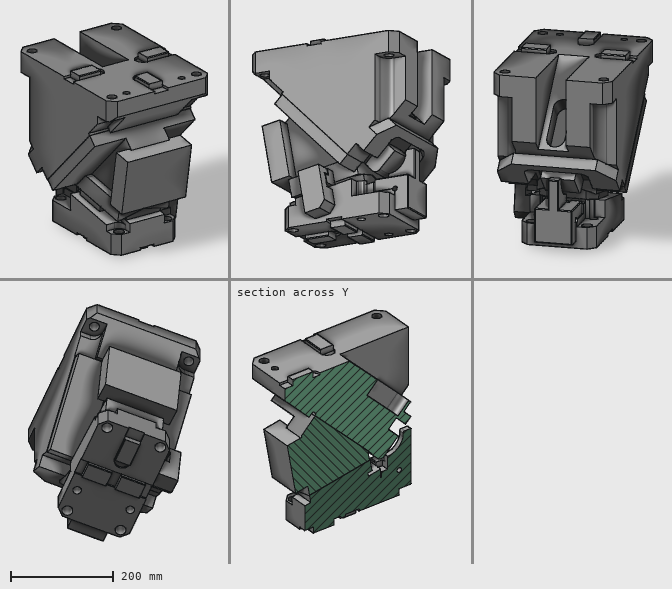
import cadquery as cq
import math


CAM_ANGLE = 10.0
PLATE_HEIGHT = 44.0
KEY_HEIGHT = 9.0
KEYWAY_DEPTH = 5.0
KEY_LENGTH = 50.2
KEY_CHAMFER = 2.2
BOLT_RADIUS = 9.5

DRIVER_LENGTH = 325.0
DRIVER_WIDTH = 240.0
DRIVER_HALF_WIDTH = DRIVER_WIDTH / 2
DRIVER_TOP = 354.0
DRIVER_CHAMFER = 15.5
FLANGE_BOTTOM = DRIVER_TOP - PLATE_HEIGHT
DRIVER_BOLT_INSET_X = 25.3
DRIVER_BOLT_Y = 99.7
DRIVER_RECESS_RADIUS = 20.5
DOWEL_Y = 65.0
DOWEL_RADIUS = 6.7
KEY_WIDTH = 31.5
SIDE_KEY_X = 180.5
SIDE_KEY_OUTER_Y = 105.3
END_KEY_X = 255.5

CAM_RISE = 7.8
CAM_UPPER_RISE = 14.5
CAM_UPPER_REACH = 512.5
LIP_RISE = -4.5
LIP_REACH = 525.5
BACK_REACH = 221.5
STRIP_REACH = 186.7
STRIP_LOW_RISE = 46.0
STRIP_HIGH_RISE = 153.3
STRIP_CHAMFER = 35.0
NOSE_HALF_WIDTH = 34.2
NOSE_REACH = 184.5
NOSE_LOW_RISE = 5.5
NOSE_HIGH_RISE = 89.3
NOSE_RADIUS = 12.3
POCKET_REACH = 232.5
POCKET_HIGH_RISE = 127.0
POCKET_HALF_WIDTH = 64.7
POCKET_FLOOR_HALF_WIDTH = 51.5
POCKET_CORNER = 16.7
CHANNEL_HALF_WIDTH = 30.5
CHANNEL_RISE = 186.7
OVAL_WIDTH = 36.5
OVAL_LENGTH = 105.5
OVAL_DEPTH = 37.0
OVAL_MIDDLE_X = 60.3

BASE_LEFT = 45.5
BASE_RIGHT = 276.0
BASE_HALF_WIDTH = 75.5
BASE_CHAMFER = 15.0
SHOULDER_X = 121.3
SHOULDER_Z = 79.2
RIB_HALF_WIDTH = 40.0
RIB_DROP = 6.7
SEAT_Z = 58.0
LEDGE_FILLET = 15.0
BASE_BOLT_INSET_X = 15.3
BASE_BOLT_Y = 56.0
BASE_BOLT_RADIUS = 10.5
BASE_DOWEL_X = 109.7
BASE_DOWEL_RADIUS = 8.0
BASE_RECESS_RADIUS = 15.3
END_PAD_HEIGHT = 10.0
END_PAD_HALF_WIDTH = BASE_BOLT_Y - BASE_RECESS_RADIUS
BASE_KEY_X = 160.0
BASE_KEY_WIDTH = 32.7
BASE_SIDE_KEY_OUTER_Y = 60.3
BASE_END_KEY_X = 204.5

GUIDE_HALF_WIDTH = 60.0
GUIDE_EDGE_HEIGHT = 11.5
GUIDE_SLOPE = 14.0
GUIDE_START = -10.0
GUIDE_END = 141.0
GUIDE_STEP = 79.2
GUIDE_NARROW_HALF_WIDTH = 40.0
GUIDE_CHAMFER = 20.5
RIDGE_HEIGHT = GUIDE_EDGE_HEIGHT + GUIDE_HALF_WIDTH * math.tan(math.radians(GUIDE_SLOPE))

BLOCK_LEFT = 16.0
BLOCK_RIGHT = 90.0
BLOCK_BOTTOM = 14.5
BLOCK_TOP = 84.0
BLOCK_HALF_WIDTH = 38.0
BLOCK_CHAMFER = 2.0
BLOCK_GAP = 1.0
RELIEF_RADIUS = 5.0
TOWER_TOP = 143.5
TOWER_HALF_WIDTH = 10.5
TOWER_TIP_X = 37.0
TOWER_TIP_RADIUS = 3.7
TOWER_FOOT_X = 74.5
TOWER_FOOT_Z = 100.5
TOWER_ARC_START_Z = 131.5
TOWER_ARC_MIDDLE = (47.5, 111.5)
SLOT_HALF_WIDTH = 16.5
SLOT_FLOOR = 70.5

WEAR_PLATE_HALF_WIDTH = 118.5
WEAR_PLATE_LOW_RISE = -26.5
WEAR_PLATE_HIGH_REACH = 510.5
SLAB_START = -8.5
SLAB_TOP = 50.0
SLAB_BEVEL = (37.2, 3.7)
CORE_HALF_WIDTH = 45.0
CORE_START_REACH = 266.0
CORE_LOW_RISE = -64.5
TAIL_START = 131.5
TAIL_END = 171.0
TAIL_TOP = 169.3
TAIL_HALF_WIDTH = 75.5

HOOK_START = 44.5
HOOK_LENGTH = 46.0
HOOK_OUTER_Y = 118.5
HOOK_WALL_Y = 97.0
HOOK_ROOT_Y = 68.0
HOOK_LIP_Y = 84.5
HOOK_BOTTOM = -55.0
HOOK_FLOOR = -8.0
HOOK_LIP_HEIGHT = 22.0
HOOK_TOP = 33.5
HOOK_CHAMFER = 13.5
TOE_LENGTH = 24.0
FOOT_OUTER_Y = 94.0
FOOT_NECK_Y = 81.5
FOOT_BOTTOM = 1.5
TOE_TOP = 20.5
FOOT_NECK_TOP = 35.0

FAR = 744.0


def slope_point(reach, rise):
    """Point (x, z) with x + z = reach and z - x = rise."""
    return ((reach - rise) / 2, (reach + rise) / 2)


def guide_point(along, height):
    """Point (x, z) at a place along, and a height above, the tilted top of the base."""
    angle = math.radians(CAM_ANGLE)
    return (
        SHOULDER_X + along * math.cos(angle) + height * math.sin(angle),
        SHOULDER_Z - along * math.sin(angle) + height * math.cos(angle),
    )


def side_prism(points, y_low, y_high):
    """Prism with an outline in X and Z, between two Y places."""
    return cq.Workplane("XZ", origin=(0, y_high, 0)).polyline(points).close().extrude(y_high - y_low)


def centred_prism(points, half_width):
    return side_prism(points, -half_width, half_width)


def slope_block(reaches, rises, half_width):
    """Block lying square to the 45 degree faces, centred on Y = 0."""
    low_reach, high_reach = reaches
    low_rise, high_rise = rises
    corners = [
        slope_point(low_reach, low_rise),
        slope_point(high_reach, low_rise),
        slope_point(high_reach, high_rise),
        slope_point(low_reach, high_rise),
    ]
    return centred_prism(corners, half_width)


def box(x_range, y_range, z_range):
    spans = [high - low for low, high in (x_range, y_range, z_range)]
    return cq.Workplane("XY").box(*spans, centered=False).translate((x_range[0], y_range[0], z_range[0]))


def tilt(shape):
    """Move a shape from (along, y, height) of the guide to its place on the base."""
    return shape.rotate((0, 0, 0), (0, 1, 0), CAM_ANGLE).translate((SHOULDER_X, 0, SHOULDER_Z))


def guide_prism(points, start, end):
    """Prism with an outline in Y and height, running along the guide."""
    return tilt(cq.Workplane("YZ", origin=(start, 0, 0)).polyline(points).close().extrude(end - start))


def bolt_hole(x, y, radius, height):
    return cq.Workplane("XY").center(x, y).circle(radius).extrude(height)


def corner_chamfers(left, right, half_width, size):
    """Four upright triangular prisms that take the corners off a rectangular plan."""
    corners = None
    for x, x_step in ((left, size), (right, -size)):
        for side in (-1, 1):
            y = side * half_width
            plan = [(x, y), (x + x_step, y), (x, y - side * size)]
            corner = cq.Workplane("XY").polyline(plan).close().extrude(DRIVER_TOP)
            corners = corner if corners is None else corners.union(corner)
    return corners


def corner_recess(centre, outward, radius, z_range):
    """Round-cornered recess around a bolt, open towards the two outer sides."""
    x, y = centre
    x_out, y_out = outward
    low, high = z_range
    width = 3 * radius
    block = cq.Workplane("XY").box(width, width, high - low)
    block = block.translate((x + x_out * radius / 2, y + y_out * radius / 2, (low + high) / 2))
    inner = ("<X" if x_out > 0 else ">X", "<Y" if y_out > 0 else ">Y")
    return block.faces(inner[0]).edges("|Z").edges(inner[1]).fillet(radius)


def key_profile(width, top):
    """Key outline across its length, chamfered at the outer face; top is signed."""
    half = width / 2
    sign = 1 if top > 0 else -1
    inner = -sign * KEYWAY_DEPTH
    return [
        (-half, inner),
        (half, inner),
        (half, top - sign * KEY_CHAMFER),
        (half - KEY_CHAMFER / 2, top),
        (-half + KEY_CHAMFER / 2, top),
        (-half, top - sign * KEY_CHAMFER),
    ]


def side_key(x, y_low, z, width, top):
    profile = cq.Workplane("XZ").polyline(key_profile(width, top)).close().extrude(-KEY_LENGTH)
    return profile.translate((x, y_low, z))


def end_key(x_low, z, width, top):
    profile = cq.Workplane("YZ").polyline(key_profile(width, top)).close().extrude(KEY_LENGTH)
    return profile.translate((x_low, 0, z))


def make_driver():
    """Wedge body with a top flange, a back strip and keys."""
    profile = [
        (0, DRIVER_TOP),
        (DRIVER_LENGTH, DRIVER_TOP),
        (DRIVER_LENGTH, DRIVER_LENGTH + LIP_RISE),
        slope_point(LIP_REACH, LIP_RISE),
        slope_point(LIP_REACH, CAM_UPPER_RISE),
        slope_point(CAM_UPPER_REACH, CAM_UPPER_RISE),
        slope_point(CAM_UPPER_REACH, CAM_RISE),
        slope_point(BACK_REACH, CAM_RISE),
        (0, BACK_REACH),
    ]
    driver = centred_prism(profile, DRIVER_HALF_WIDTH)
    driver = driver.cut(corner_chamfers(0, DRIVER_LENGTH, DRIVER_HALF_WIDTH, DRIVER_CHAMFER))

    lip_half_width = DRIVER_BOLT_Y - DRIVER_RECESS_RADIUS
    right_bolt_x = DRIVER_LENGTH - DRIVER_BOLT_INSET_X
    for side in (-1, 1):
        for x, x_out in ((DRIVER_BOLT_INSET_X, -1), (right_bolt_x, 1)):
            centre = (x, side * DRIVER_BOLT_Y)
            recess = corner_recess(centre, (x_out, side), DRIVER_RECESS_RADIUS, (0, FLANGE_BOTTOM))
            driver = driver.cut(recess).cut(bolt_hole(*centre, BOLT_RADIUS, DRIVER_TOP))
        dowel = bolt_hole(right_bolt_x, side * DOWEL_Y, DOWEL_RADIUS, PLATE_HEIGHT)
        driver = driver.cut(dowel.translate((0, 0, FLANGE_BOTTOM)))

        lip_layer = slope_block((CAM_UPPER_REACH, FAR), (LIP_RISE, CAM_UPPER_RISE), DRIVER_HALF_WIDTH)
        outer_part = box((0, FAR), sorted((side * lip_half_width, side * FAR)), (0, FLANGE_BOTTOM))
        driver = driver.cut(lip_layer.intersect(outer_part))

    driver = driver.union(make_strip())
    driver = driver.cut(pocket_tool()).union(make_nose())
    driver = driver.cut(channel_tool())
    return add_driver_keys(driver)


def make_strip():
    """Strip along the lower edge of the back face, with its two outer corners cut off."""
    strip = slope_block((STRIP_REACH, BACK_REACH), (STRIP_LOW_RISE, STRIP_HIGH_RISE), DRIVER_HALF_WIDTH)
    for side in (-1, 1):
        y = side * DRIVER_HALF_WIDTH
        triangle = [(0, y), (STRIP_CHAMFER, y), (0, y - side * STRIP_CHAMFER)]
        corner = strip_plane(STRIP_HIGH_RISE).polyline(triangle).close()
        strip = strip.cut(corner.extrude(BACK_REACH - STRIP_REACH))
    return strip


def strip_plane(rise):
    """Plane on the strip face: local x runs down the slope, local y is +Y, the normal points inwards."""
    x, z = slope_point(STRIP_REACH, rise)
    return cq.Workplane(cq.Plane(origin=(x, 0, z), xDir=(1, 0, -1), normal=(1, 0, 1)))


def pocket_tool():
    """Pocket through the strip, with round corners and side walls that lean in towards the floor."""
    length = (POCKET_HIGH_RISE - CAM_RISE) / math.sqrt(2) + 2 * POCKET_CORNER
    depth = (POCKET_REACH - STRIP_REACH) / math.sqrt(2)
    outline = strip_plane(POCKET_HIGH_RISE).center(length / 2, 0).rect(length, 2 * POCKET_HALF_WIDTH)
    upright = cq.selectors.ParallelDirSelector(cq.Vector(1, 0, 1))
    tool = outline.extrude(depth).edges(upright).fillet(POCKET_CORNER)
    x, z = slope_point(STRIP_REACH, POCKET_HIGH_RISE)
    section = cq.Workplane(cq.Plane(origin=(x, 0, z), xDir=(0, 1, 0), normal=(1, 0, -1)))
    trapezoid = [
        (-POCKET_HALF_WIDTH, 0),
        (POCKET_HALF_WIDTH, 0),
        (POCKET_FLOOR_HALF_WIDTH, depth),
        (-POCKET_FLOOR_HALF_WIDTH, depth),
    ]
    return tool.intersect(section.polyline(trapezoid).close().extrude(length))


def make_nose():
    nose = slope_block((NOSE_REACH, POCKET_REACH), (NOSE_LOW_RISE, NOSE_HIGH_RISE), NOSE_HALF_WIDTH)
    return nose.edges("|Y").edges("<Z").fillet(NOSE_RADIUS)


def channel_tool():
    """Open channel with a 45 degree floor and an oval pocket sunk square into that floor."""
    top = DRIVER_TOP
    channel = centred_prism([(0, top), (0, CHANNEL_RISE), (top - CHANNEL_RISE, top)], CHANNEL_HALF_WIDTH)
    origin = (OVAL_MIDDLE_X, 0, OVAL_MIDDLE_X + CHANNEL_RISE)
    floor = cq.Workplane(cq.Plane(origin=origin, xDir=(1, 0, 1), normal=(-1, 0, 1)))
    return channel.union(floor.slot2D(OVAL_LENGTH, OVAL_WIDTH).extrude(-OVAL_DEPTH))


def add_driver_keys(driver):
    floor = DRIVER_TOP - KEYWAY_DEPTH
    half = KEY_WIDTH / 2
    inner_y = SIDE_KEY_OUTER_Y - KEY_LENGTH
    for side in (-1, 1):
        y_range = sorted((side * inner_y, side * FAR))
        keyway = box((SIDE_KEY_X - half, SIDE_KEY_X + half), y_range, (floor, DRIVER_TOP))
        round_end = cq.Workplane("XY").center(SIDE_KEY_X, side * inner_y).circle(half).extrude(KEYWAY_DEPTH)
        driver = driver.cut(keyway).cut(round_end.translate((0, 0, floor)))
        y_low = min(side * inner_y, side * SIDE_KEY_OUTER_Y)
        driver = driver.union(side_key(SIDE_KEY_X, y_low, DRIVER_TOP, KEY_WIDTH, KEY_HEIGHT))
    keyway = box((END_KEY_X, FAR), (-half, half), (floor, DRIVER_TOP))
    round_end = cq.Workplane("XY").center(END_KEY_X, 0).circle(half).extrude(KEYWAY_DEPTH)
    driver = driver.cut(keyway).cut(round_end.translate((0, 0, floor)))
    return driver.union(end_key(END_KEY_X, DRIVER_TOP, KEY_WIDTH, KEY_HEIGHT))


def guide_ridge():
    """Roof-shaped guide on the tilted top of the base."""
    outline = [
        (-GUIDE_HALF_WIDTH, 0),
        (GUIDE_HALF_WIDTH, 0),
        (GUIDE_HALF_WIDTH, GUIDE_EDGE_HEIGHT),
        (0, RIDGE_HEIGHT),
        (-GUIDE_HALF_WIDTH, GUIDE_EDGE_HEIGHT),
    ]
    return guide_prism(outline, GUIDE_START, GUIDE_END)


def make_guide():
    """Guide ridge with its leading corners cut off and its low end narrowed."""
    ridge = guide_ridge()
    for side in (-1, 1):
        y = side * GUIDE_HALF_WIDTH
        triangle = [
            (GUIDE_START, y),
            (GUIDE_START + GUIDE_CHAMFER, y),
            (GUIDE_START, y - side * GUIDE_CHAMFER),
        ]
        ridge = ridge.cut(tilt(cq.Workplane("XY").polyline(triangle).close().extrude(RIDGE_HEIGHT)))
    narrow_part = box((GUIDE_STEP, FAR), (GUIDE_NARROW_HALF_WIDTH, FAR), (0, FAR))
    for part in (narrow_part, narrow_part.mirror("XZ")):
        ridge = ridge.cut(tilt(part))
    return ridge


def make_base():
    """Base flange with a tilted top, a guide, a stop block, a return hook and keys."""
    end_along = (BASE_RIGHT - SHOULDER_X) / math.cos(math.radians(CAM_ANGLE))
    top_right = guide_point(end_along, 0)
    profile = [
        (BASE_LEFT, 0),
        (BASE_RIGHT, 0),
        top_right,
        (SHOULDER_X, SHOULDER_Z),
        (SHOULDER_X, PLATE_HEIGHT),
        (BASE_LEFT, PLATE_HEIGHT),
    ]
    base = centred_prism(profile, BASE_HALF_WIDTH)

    pad_width = (-END_PAD_HALF_WIDTH, END_PAD_HALF_WIDTH)
    pad = box((0, 2 * end_along), pad_width, (-GUIDE_EDGE_HEIGHT, END_PAD_HEIGHT))
    pad = tilt(pad).intersect(box((0, BASE_RIGHT), (-FAR, FAR), (0, FAR)))
    base = base.union(pad).union(make_rib())
    base = base.union(make_guide())
    base = base.cut(corner_chamfers(BASE_LEFT, BASE_RIGHT, BASE_HALF_WIDTH, BASE_CHAMFER))

    for side in (-1, 1):
        y = side * BASE_BOLT_Y
        right_x = BASE_RIGHT - BASE_BOLT_INSET_X
        recess = corner_recess((right_x, y), (1, side), BASE_RECESS_RADIUS, (PLATE_HEIGHT, FAR))
        base = base.cut(recess)
        for x in (BASE_LEFT + BASE_BOLT_INSET_X, right_x):
            base = base.cut(bolt_hole(x, y, BASE_BOLT_RADIUS, PLATE_HEIGHT))
        base = base.cut(bolt_hole(BASE_DOWEL_X, y, BASE_DOWEL_RADIUS, DRIVER_TOP))
    base = add_base_keys(base)
    return base.union(make_stop_block()).cut(relief_hole()).union(make_hook())


def make_rib():
    """Middle rib ahead of the shoulder, joined to the shoulder by concave fillets."""
    seat_end = BLOCK_RIGHT + BLOCK_GAP
    rib = box((BASE_LEFT, SHOULDER_X), (-RIB_HALF_WIDTH, RIB_HALF_WIDTH), (PLATE_HEIGHT, FAR))
    step = box((0, seat_end), (-FAR, FAR), (SEAT_Z, FAR))
    over = tilt(box((-FAR, 0), (-FAR, FAR), (-RIB_DROP, FAR)))
    rib = rib.cut(step).cut(over)
    for side in (-1, 1):
        corner_y = side * RIB_HALF_WIDTH
        fillet = (
            cq.Workplane("XY", origin=(0, 0, PLATE_HEIGHT))
            .moveTo(SHOULDER_X, corner_y)
            .lineTo(SHOULDER_X - LEDGE_FILLET, corner_y)
            .radiusArc((SHOULDER_X, corner_y + side * LEDGE_FILLET), side * LEDGE_FILLET)
            .close()
            .extrude(FAR)
        )
        rib = rib.union(fillet.cut(tilt(box((-FAR, FAR), (-FAR, FAR), (0, FAR)))))
    return rib


def add_base_keys(base):
    half = BASE_KEY_WIDTH / 2
    cross = box((BASE_KEY_X - half, BASE_KEY_X + half), (-FAR, FAR), (0, KEYWAY_DEPTH))
    along = box((BASE_END_KEY_X, FAR), (-half, half), (0, KEYWAY_DEPTH))
    round_end = cq.Workplane("XY").center(BASE_END_KEY_X, 0).circle(half).extrude(KEYWAY_DEPTH)
    base = base.cut(cross).cut(along).cut(round_end)
    inner_y = BASE_SIDE_KEY_OUTER_Y - KEY_LENGTH
    for y_low in (inner_y, -BASE_SIDE_KEY_OUTER_Y):
        base = base.union(side_key(BASE_KEY_X, y_low, 0, BASE_KEY_WIDTH, -KEY_HEIGHT))
    return base.union(end_key(BASE_END_KEY_X, 0, BASE_KEY_WIDTH, -KEY_HEIGHT))


def make_stop_block():
    """Block hooked over the rib, with a thin curved tower on top."""
    block = box((BLOCK_LEFT, BLOCK_RIGHT), (-BLOCK_HALF_WIDTH, BLOCK_HALF_WIDTH), (BLOCK_BOTTOM, BLOCK_TOP))
    block = block.faces("<X or >Z").edges().chamfer(BLOCK_CHAMFER)
    block = block.cut(box((BASE_LEFT, FAR), (-FAR, FAR), (0, SEAT_Z)))
    block = block.cut(box((TOWER_FOOT_X, FAR), (-SLOT_HALF_WIDTH, SLOT_HALF_WIDTH), (SLOT_FLOOR, FAR)))
    tower = (
        cq.Workplane("XZ", origin=(0, TOWER_HALF_WIDTH, 0))
        .moveTo(BLOCK_LEFT, BLOCK_BOTTOM + BLOCK_CHAMFER)
        .lineTo(BLOCK_LEFT, TOWER_TOP)
        .lineTo(TOWER_TIP_X, TOWER_TOP)
        .lineTo(TOWER_TIP_X, TOWER_ARC_START_Z)
        .threePointArc(TOWER_ARC_MIDDLE, (TOWER_FOOT_X, TOWER_FOOT_Z))
        .lineTo(TOWER_FOOT_X, SEAT_Z)
        .lineTo(BASE_LEFT, SEAT_Z)
        .lineTo(BASE_LEFT, BLOCK_BOTTOM + BLOCK_CHAMFER)
        .close()
        .extrude(2 * TOWER_HALF_WIDTH)
    )
    tower = tower.faces("<X").edges("|Z or >Z").chamfer(BLOCK_CHAMFER)
    tower = tower.faces(">Z").edges(">X").fillet(TOWER_TIP_RADIUS)
    return block.union(tower)


def relief_hole():
    """Cross hole in the inner corner where the stop block hooks over the rib."""
    hole = cq.Workplane("XZ", origin=(BASE_LEFT, BASE_HALF_WIDTH, SEAT_Z)).circle(RELIEF_RADIUS)
    return hole.extrude(2 * BASE_HALF_WIDTH)


def make_hook():
    """Return hook: a wall with a lip over the slider's foot, standing on the base side."""
    outline = [
        (HOOK_ROOT_Y, HOOK_BOTTOM),
        (HOOK_OUTER_Y, HOOK_BOTTOM),
        (HOOK_OUTER_Y, HOOK_TOP),
        (HOOK_LIP_Y, HOOK_TOP),
        (HOOK_LIP_Y, HOOK_LIP_HEIGHT),
        (HOOK_WALL_Y, HOOK_LIP_HEIGHT),
        (HOOK_WALL_Y, HOOK_FLOOR),
        (HOOK_ROOT_Y, HOOK_FLOOR),
    ]
    hook = cq.Workplane("YZ", origin=(HOOK_START, 0, 0)).polyline(outline).close().extrude(HOOK_LENGTH)
    return tilt(hook.faces("<X").edges("<Z").chamfer(HOOK_CHAMFER))


def make_slider():
    """Wear plate, core, guide slab and tail block, with a return foot on the +Y side."""
    plate = slope_block(
        (BACK_REACH, WEAR_PLATE_HIGH_REACH), (WEAR_PLATE_LOW_RISE, CAM_RISE), WEAR_PLATE_HALF_WIDTH
    )
    front_clearance = box((-FAR, SLAB_START), (-GUIDE_HALF_WIDTH, GUIDE_HALF_WIDTH), (-FAR, FAR))
    plate = plate.cut(tilt(front_clearance))
    bevel_length, bevel_drop = SLAB_BEVEL
    slab = [
        guide_point(SLAB_START, GUIDE_EDGE_HEIGHT),
        guide_point(SLAB_START, SLAB_TOP - bevel_drop),
        guide_point(SLAB_START + bevel_length, SLAB_TOP),
        guide_point(GUIDE_END, SLAB_TOP),
        guide_point(GUIDE_END, GUIDE_EDGE_HEIGHT),
    ]
    core = [
        slope_point(WEAR_PLATE_HIGH_REACH, CAM_RISE),
        slope_point(WEAR_PLATE_HIGH_REACH, CORE_LOW_RISE),
        guide_point(TAIL_START, TAIL_TOP),
        guide_point(TAIL_START, SLAB_TOP),
        guide_point(SLAB_START + bevel_length, SLAB_TOP - bevel_drop),
        slope_point(CORE_START_REACH, CAM_RISE),
    ]
    tail = tilt(box((TAIL_START, TAIL_END), (-TAIL_HALF_WIDTH, TAIL_HALF_WIDTH), (SLAB_TOP, TAIL_TOP)))
    slider = plate.union(centred_prism(slab, GUIDE_HALF_WIDTH)).union(centred_prism(core, CORE_HALF_WIDTH))
    return slider.union(tail).union(make_foot()).cut(guide_ridge())


def make_foot():
    """Return foot: a neck beside the slab and a toe that reaches under the hook's lip."""
    y_neck = (GUIDE_HALF_WIDTH, FOOT_NECK_Y)
    y_toe = (GUIDE_HALF_WIDTH, FOOT_OUTER_Y)
    neck = box((HOOK_START, HOOK_START + HOOK_LENGTH), y_neck, (FOOT_BOTTOM, FOOT_NECK_TOP))
    toe = box((HOOK_START, HOOK_START + TOE_LENGTH), y_toe, (FOOT_BOTTOM, TOE_TOP))
    return tilt(neck.union(toe))


driver = make_driver()
slider = make_slider()
base = make_base()
result = cq.Compound.makeCompound([driver.solids().val(), slider.solids().val(), base.solids().val()])